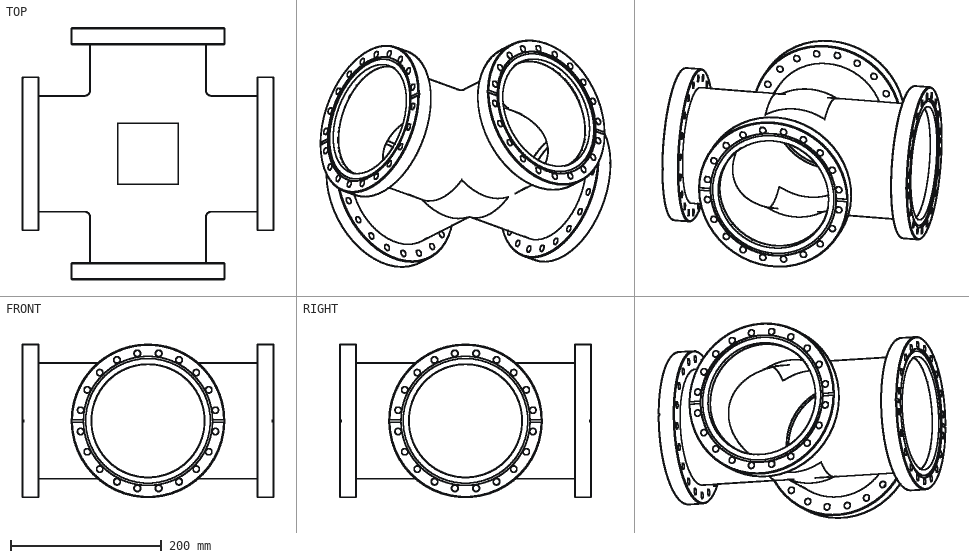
import cadquery as cq
face_to_face = 334.0
port_angles = (0, 90, 180, 270)

tube_outer_dia = 154.0
tube_inner_dia = 150.0
outer_fillet = 6.7
inner_fillet = outer_fillet + (tube_outer_dia - tube_inner_dia) / 2

cap_width = 80.8

flange_dia = 203.0
flange_thickness = 22.5
flange_bore_dia = 150.5
rim_chamfer = 1.0
socket_dia = tube_outer_dia
lip_thickness = 10.0

recess_dia = 171.5
recess_depth = 2.0
knife_dia = 165.3
knife_depth = 1.0

bolt_count = 20
bolt_circle_dia = 181.0
bolt_hole_dia = 8.5

groove_dia = 3.5

flange_face = face_to_face / 2
flange_back = flange_face - flange_thickness
tube_end = flange_face - lip_thickness


def crossed_cylinders(diameter, fillet):
    """Two equal cylinders crossing at the origin, rounded where they meet."""
    seam_up = cq.Plane(origin=(-tube_end, 0, 0), xDir=(0, 0, 1), normal=(1, 0, 0))
    bar = cq.Workplane(seam_up).circle(diameter / 2).extrude(2 * tube_end)
    crossing_bar = bar.rotate((0, 0, 0), (0, 0, 1), 90)
    return bar.union(crossing_bar).edges("%ELLIPSE").fillet(fillet)


def make_tube_wall():
    outside = crossed_cylinders(tube_outer_dia, outer_fillet)
    inside = crossed_cylinders(tube_inner_dia, inner_fillet)
    return outside.cut(inside)


def make_flange_blank():
    """Flange ring on the +X port, with its tube socket, bore and seal recess."""
    rim_radius = flange_dia / 2
    knife_face = flange_face - knife_depth
    profile = [
        (flange_back, socket_dia / 2),
        (flange_back, rim_radius - rim_chamfer),
        (flange_back + rim_chamfer, rim_radius),
        (flange_face - rim_chamfer, rim_radius),
        (flange_face, rim_radius - rim_chamfer),
        (flange_face, recess_dia / 2),
        (flange_face - recess_depth, recess_dia / 2),
        (knife_face, knife_dia / 2),
        (knife_face, flange_bore_dia / 2),
        (tube_end, flange_bore_dia / 2),
        (tube_end, socket_dia / 2),
    ]
    return cq.Workplane("XZ").polyline(profile).close().revolve(360, (0, 0, 0), (1, 0, 0))


def make_bolt_holes():
    half_pitch_angle = 180 / bolt_count
    return (
        cq.Workplane("YZ")
        .workplane(offset=flange_back)
        .polarArray(bolt_circle_dia / 2, half_pitch_angle, 360, bolt_count)
        .circle(bolt_hole_dia / 2)
        .extrude(flange_thickness)
    )


def make_groove(side):
    """Round-bottomed groove from the seal recess out to the rim, on the +Y or -Y side."""
    groove_length = (flange_dia - recess_dia) / 2
    return (
        cq.Workplane("XZ", origin=(flange_face, side * recess_dia / 2, 0))
        .circle(groove_dia / 2)
        .extrude(-side * groove_length)
    )


def make_flange():
    flange = make_flange_blank().cut(make_bolt_holes())
    for side in (-1, 1):
        flange = flange.cut(make_groove(side))
    return flange


tube_wall = make_tube_wall()
cap_column = cq.Workplane("XY").box(cap_width, cap_width, tube_outer_dia)
cross = tube_wall.cut(cap_column)
caps = tube_wall.intersect(cap_column).solids()

port_flange = make_flange()
flanges = []
for angle in port_angles:
    flanges.append(port_flange.rotate((0, 0, 0), (0, 0, 1), angle).val())

result = cq.Compound.makeCompound([cross.val(), *caps.vals(), *flanges])